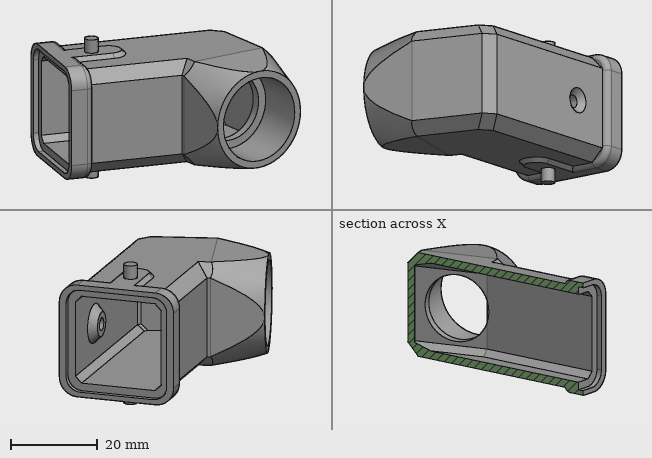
import cadquery as cq
import math

OVERALL_X = 39.05
OVERALL_Y = 54.3
OVERALL_Z = 33.4

FLANGE_X = 27.95
FLANGE_Z = 27.0
FLANGE_DEPTH = 5.4
FLANGE_CORNER_RADIUS = 4.45
FLANGE_EDGE_FILLET = 1.45

RECESS_SIZE = 24.6
RECESS_DEPTH = 1.3
RECESS_CORNER_RADIUS = 3.5

BODY_HALF = 12.5
BODY_CHAMFER = 3.0
BODY_CORNER_DEPTH = 1.35
BEND_ANGLE = math.radians(15)
REAR_SLOPE = math.tan(BEND_ANGLE)

OUTLET_LENGTH = 12.5
OUTLET_END_RADIUS = 11.6
OUTLET_BORE_DIAMETER = 16.0
OUTLET_COUNTERBORE_DIAMETER = 20.0

WALL = 2.0
CAVITY_HALF = BODY_HALF - WALL
CAVITY_CHAMFER = 1.5
CAVITY_CORNER_DEPTH = 0.4
CAVITY_END_SETBACK = 1.5
BORE_WALL = 2.15

TAB_HALF_WIDTH = 3.95
TAB_ARC_Y = 14.05
TAB_CHAMFER = FLANGE_Z / 2 - BODY_HALF
PIN_DIAMETER = 3.2
PIN_Y = 9.85

SCREW_Y = 14.45
SCREW_DIAMETER = 3.0
COUNTERSINK_DIAMETER = 5.9
COUNTERSINK_DEPTH = (COUNTERSINK_DIAMETER - SCREW_DIAMETER) / 2
BOSS_TIP_DIAMETER = 5.8
BOSS_HEIGHT = 1.8

ALONG = cq.Vector(math.cos(BEND_ANGLE), math.sin(BEND_ANGLE), 0)
ACROSS = cq.Vector(-math.sin(BEND_ANGLE), math.cos(BEND_ANGLE), 0)
OUTLET_END = cq.Vector(
    OVERALL_X - FLANGE_X / 2 - OUTLET_END_RADIUS * math.sin(BEND_ANGLE),
    OVERALL_Y - OUTLET_END_RADIUS * math.cos(BEND_ANGLE),
    0,
)
OUTLET_ROOT = OUTLET_END - ALONG * OUTLET_LENGTH

HALF_TURN = (math.pi / 2 - BEND_ANGLE) / 2
CORNER_INWARD = cq.Vector(math.cos(HALF_TURN), -math.sin(HALF_TURN), 0)
CORNER_ALONG = cq.Vector(math.sin(HALF_TURN), math.cos(HALF_TURN), 0)


def outlet_plane(distance):
    """Workplane across the outlet axis, at a distance from the outlet root."""
    origin = OUTLET_ROOT + ALONG * distance
    return cq.Workplane(cq.Plane(origin=origin, xDir=ACROSS, normal=ALONG))


def y_at(x, point, slope):
    """Y at a given X on the straight line with this slope through a point."""
    return point.y + (x - point.x) * slope


def plan_prism(outline, half_height, chamfer, sharp_directions):
    """Extrude a plan outline to both Z sides and chamfer its rims.

    The rims at the mating face and those along the sharp directions stay sharp.
    """
    prism = cq.Workplane("XY").polyline(outline).close().extrude(half_height, both=True)
    kept = prism.edges("|X").edges("<Y").vals()
    for direction in sharp_directions:
        kept += prism.edges(cq.selectors.ParallelDirSelector(direction)).vals()
    rims = [edge for edge in prism.edges("#Z").vals() if not any(edge.isSame(other) for other in kept)]
    return prism.newObject(rims).chamfer(chamfer)


def body_block():
    root_top = OUTLET_ROOT + ACROSS * BODY_HALF
    root_bottom = OUTLET_ROOT - ACROSS * BODY_HALF
    corner = (-BODY_HALF, y_at(-BODY_HALF, root_top, REAR_SLOPE))
    outline = [
        (-BODY_HALF, 0),
        corner,
        (root_top.x, root_top.y),
        (root_bottom.x, root_bottom.y),
        (BODY_HALF, y_at(BODY_HALF, root_bottom, REAR_SLOPE)),
        (BODY_HALF, 0),
    ]
    block = plan_prism(outline, BODY_HALF, BODY_CHAMFER, [ACROSS])
    rim_setback = BODY_CHAMFER / math.cos(HALF_TURN)
    return block.cut(corner_trim(corner, BODY_CORNER_DEPTH, BODY_HALF, BODY_CHAMFER, rim_setback))


def corner_trim(corner, depth, half_height, chamfer, rim_setback):
    """Cutter that flattens the rear -X corner to an even depth.

    The chamfered rim moves the corner inward by the rim setback, and the flat follows it.
    """
    flat_half = half_height - chamfer
    profile = [
        (-depth, -half_height),
        (rim_setback, -half_height),
        (0, -flat_half),
        (0, flat_half),
        (rim_setback, half_height),
        (-depth, half_height),
    ]
    origin = cq.Vector(*corner) + CORNER_INWARD * depth
    cut_plane = cq.Plane(origin=origin, xDir=CORNER_INWARD, normal=CORNER_ALONG)
    return cq.Workplane(cut_plane).polyline(profile).close().extrude(half_height, both=True)


def outlet():
    """Tapered square, rounded at its corners by a cone and flush with the body chamfers at the root."""
    size = 2 * BODY_HALF
    root_corner_radius = math.hypot(BODY_HALF, BODY_HALF - BODY_CHAMFER)
    tapered = (
        outlet_plane(0).rect(size, size)
        .workplane(offset=OUTLET_LENGTH).rect(2 * OUTLET_END_RADIUS, 2 * OUTLET_END_RADIUS)
        .loft()
    )
    octagon = (
        outlet_plane(0).rect(size, size).extrude(OUTLET_LENGTH)
        .edges(cq.selectors.ParallelDirSelector(ALONG)).chamfer(BODY_CHAMFER)
    )
    cone = cq.Workplane(
        cq.Solid.makeCone(root_corner_radius, OUTLET_END_RADIUS, OUTLET_LENGTH, OUTLET_ROOT, ALONG)
    )
    return octagon.intersect(tapered).intersect(cone)


def flange():
    return (
        cq.Workplane("XZ").rect(FLANGE_X, FLANGE_Z).extrude(-FLANGE_DEPTH)
        .edges("|Y").fillet(FLANGE_CORNER_RADIUS)
        .faces(">Y").edges().fillet(FLANGE_EDGE_FILLET)
    )


def tabs():
    """One slab through the body that stands out as a round-ended tab on both Z sides."""
    return (
        cq.Workplane("XY")
        .moveTo(-TAB_HALF_WIDTH, 0)
        .lineTo(-TAB_HALF_WIDTH, TAB_ARC_Y)
        .threePointArc((0, TAB_ARC_Y + TAB_HALF_WIDTH), (TAB_HALF_WIDTH, TAB_ARC_Y))
        .lineTo(TAB_HALF_WIDTH, 0)
        .close()
        .extrude(FLANGE_Z / 2, both=True)
        .faces("<Z or >Z").edges("not <Y").chamfer(TAB_CHAMFER)
    )


def pins():
    return cq.Workplane("XY").center(0, PIN_Y).circle(PIN_DIAMETER / 2).extrude(OVERALL_Z / 2, both=True)


def cavity():
    end_centre = OUTLET_ROOT - ALONG * CAVITY_END_SETBACK
    end_top = end_centre + ACROSS * CAVITY_HALF
    corner = (-CAVITY_HALF, y_at(-CAVITY_HALF, end_top, REAR_SLOPE))
    outline = [
        (-CAVITY_HALF, 0),
        corner,
        (end_top.x, end_top.y),
        (CAVITY_HALF, y_at(CAVITY_HALF, end_top, -1 / REAR_SLOPE)),
        (CAVITY_HALF, 0),
    ]
    space = plan_prism(outline, CAVITY_HALF, CAVITY_CHAMFER, [ALONG])
    rim_setback = CAVITY_CHAMFER * math.sin(HALF_TURN) / math.cos(BEND_ANGLE)
    return space.cut(corner_trim(corner, CAVITY_CORNER_DEPTH, CAVITY_HALF, CAVITY_CHAMFER, rim_setback))


def seal_recess():
    return (
        cq.Workplane("XZ").rect(RECESS_SIZE, RECESS_SIZE).extrude(-RECESS_DEPTH)
        .edges("|Y").fillet(RECESS_CORNER_RADIUS)
    )


def outlet_bore():
    counterbore_start = BORE_WALL - CAVITY_END_SETBACK
    bore = outlet_plane(-CAVITY_END_SETBACK).circle(OUTLET_BORE_DIAMETER / 2).extrude(BORE_WALL)
    counterbore = (
        outlet_plane(counterbore_start).circle(OUTLET_COUNTERBORE_DIAMETER / 2)
        .extrude(OUTLET_LENGTH - counterbore_start)
    )
    return bore.union(counterbore)


def turned_about_screw(profile):
    """Revolve (X, radius) points about the screw axis."""
    axis_plane = cq.Workplane("XY", origin=(0, SCREW_Y, 0))
    return axis_plane.polyline(profile).close().revolve(360, (0, 0, 0), (1, 0, 0))


def screw_boss():
    tip_radius = BOSS_TIP_DIAMETER / 2
    return turned_about_screw([
        (-CAVITY_HALF, 0),
        (-CAVITY_HALF, tip_radius + BOSS_HEIGHT),
        (-CAVITY_HALF + BOSS_HEIGHT, tip_radius),
        (-CAVITY_HALF + BOSS_HEIGHT, 0),
    ])


def screw_hole():
    return turned_about_screw([
        (-BODY_HALF, 0),
        (-BODY_HALF, COUNTERSINK_DIAMETER / 2),
        (-BODY_HALF + COUNTERSINK_DEPTH, SCREW_DIAMETER / 2),
        (-CAVITY_HALF + BOSS_HEIGHT, SCREW_DIAMETER / 2),
        (-CAVITY_HALF + BOSS_HEIGHT, 0),
    ])


outside = body_block().union(outlet()).union(flange()).union(tabs()).union(pins())
hollow = outside.cut(cavity()).cut(seal_recess()).cut(outlet_bore())
result = hollow.union(screw_boss()).cut(screw_hole())